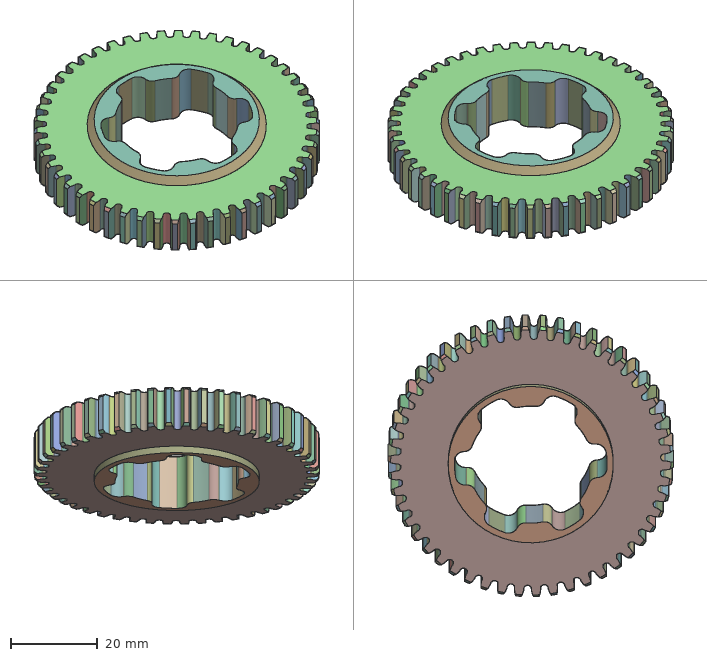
import cadquery as cq
import math

TOOTH_COUNT = 50
TIP_RADIUS = 33.0
ROOT_RADIUS = 30.0
FLANK_START_RADIUS = 31.1
PRESSURE_ANGLE = math.radians(14.5)
RIM_HEIGHT = 9.5
TIP_CHAMFER = 0.65

MODULE = 2 * TIP_RADIUS / (TOOTH_COUNT + 2)
PITCH_RADIUS = MODULE * TOOTH_COUNT / 2
BASE_RADIUS = PITCH_RADIUS * math.cos(PRESSURE_ANGLE)
TOOTH_PITCH = 2 * math.pi / TOOTH_COUNT

HUB_RADIUS = 19.05
CONE_ANGLE = 45
TOTAL_HEIGHT = 12.7
HUB_STEP = (TOTAL_HEIGHT - RIM_HEIGHT) / 2
CONE_BASE_RADIUS = HUB_RADIUS + HUB_STEP * math.tan(math.radians(CONE_ANGLE))

SLOT_COUNT = 6
BORE_MINOR_RADIUS = 14.25
BORE_MAJOR_RADIUS = 17.6
SLOT_WIDTH = 8.2
SLOT_CORNER_RADIUS = 2.3
LAND_EDGE_RADIUS = 2.0

EDGE_TOLERANCE = 0.005

RIM_TOP = RIM_HEIGHT / 2
RIM_BOTTOM = -RIM_HEIGHT / 2
HUB_BOTTOM = RIM_BOTTOM - HUB_STEP


def polar(radius, angle):
    return (radius * math.cos(angle), radius * math.sin(angle))


def involute(angle):
    return math.tan(angle) - angle


def tooth_half_angle(radius):
    """Half the angle a tooth spans at the given radius, from the involute."""
    at_base = TOOTH_PITCH / 4 + involute(PRESSURE_ANGLE)
    return at_base - involute(math.acos(BASE_RADIUS / radius))


def gear_blank():
    """Toothed disc with involute flanks and round-bottomed gaps; a tooth points along +X."""
    mid_radius = (FLANK_START_RADIUS + TIP_RADIUS) / 2
    start_half = tooth_half_angle(FLANK_START_RADIUS)
    mid_half = tooth_half_angle(mid_radius)
    tip_half = tooth_half_angle(TIP_RADIUS)

    gap_half_angle = TOOTH_PITCH / 2 - start_half
    gap_half_width = FLANK_START_RADIUS * math.sin(gap_half_angle)
    round_centre_x = ROOT_RADIUS + gap_half_width
    round_end_radius = math.hypot(round_centre_x, gap_half_width)
    round_half_angle = math.atan2(gap_half_width, round_centre_x)

    outline = cq.Workplane("XY", origin=(0, 0, RIM_BOTTOM)).moveTo(*polar(FLANK_START_RADIUS, -start_half))
    for tooth in range(TOOTH_COUNT):
        centre = tooth * TOOTH_PITCH
        gap_centre = centre + TOOTH_PITCH / 2
        outline = (
            outline
            .threePointArc(polar(mid_radius, centre - mid_half), polar(TIP_RADIUS, centre - tip_half))
            .threePointArc(polar(TIP_RADIUS, centre), polar(TIP_RADIUS, centre + tip_half))
            .threePointArc(polar(mid_radius, centre + mid_half), polar(FLANK_START_RADIUS, centre + start_half))
            .lineTo(*polar(round_end_radius, gap_centre - round_half_angle))
            .threePointArc(
                polar(ROOT_RADIUS, gap_centre),
                polar(round_end_radius, gap_centre + round_half_angle),
            )
            .lineTo(*polar(FLANK_START_RADIUS, gap_centre + gap_half_angle))
        )
    return outline.close().extrude(RIM_HEIGHT)


def toothed_rim():
    """Gear disc with both ends of every tooth tip chamfered."""
    chamfered_disc = (
        cq.Workplane("XY", origin=(0, 0, RIM_BOTTOM))
        .circle(TIP_RADIUS)
        .extrude(RIM_HEIGHT)
        .edges()
        .chamfer(TIP_CHAMFER)
    )
    return gear_blank().intersect(chamfered_disc)


def lower_hub():
    return cq.Workplane("XY", origin=(0, 0, HUB_BOTTOM)).circle(HUB_RADIUS).extrude(HUB_STEP)


def upper_hub():
    return cq.Workplane("XY", origin=(0, 0, RIM_TOP)).circle(CONE_BASE_RADIUS).extrude(HUB_STEP, taper=CONE_ANGLE)


def splined_bore():
    """Through bore with six rounded slots; one slot lies along +X."""
    start = cq.Workplane("XY", origin=(0, 0, HUB_BOTTOM))
    outer_limit = start.circle(BORE_MAJOR_RADIUS).extrude(TOTAL_HEIGHT)
    slot_pair = (
        start.rect(2 * BORE_MAJOR_RADIUS, SLOT_WIDTH)
        .extrude(TOTAL_HEIGHT)
        .intersect(outer_limit)
        .edges("|Z")
        .fillet(SLOT_CORNER_RADIUS)
    )
    bore = start.circle(BORE_MINOR_RADIUS).extrude(TOTAL_HEIGHT)
    for index in range(SLOT_COUNT // 2):
        bore = bore.union(slot_pair.rotate((0, 0, 0), (0, 0, 1), index * 360 / SLOT_COUNT))

    land_edges = bore.edges("|Z").filter(
        lambda edge: math.hypot(edge.Center().x, edge.Center().y) < BORE_MINOR_RADIUS + EDGE_TOLERANCE
    )
    return land_edges.fillet(LAND_EDGE_RADIUS)


result = toothed_rim().union(lower_hub()).union(upper_hub()).cut(splined_bore())